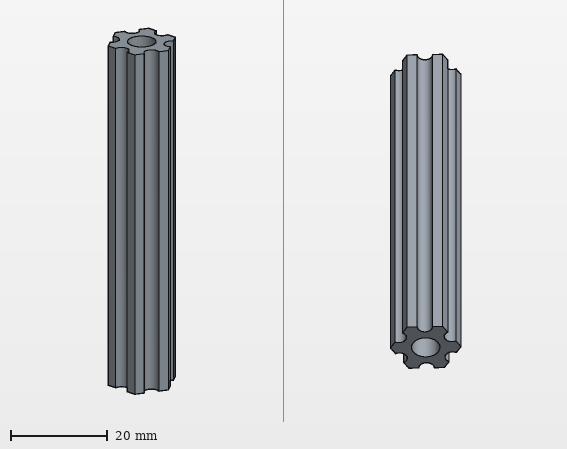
import cadquery as cq
import math

length = 76.2
flat_count = 6
half_flat_angle = 180 / flat_count
across_flats = length / 6
across_corners = across_flats / math.cos(math.radians(half_flat_angle))
bore_diameter = 5.9
groove_width = across_flats / 4

bar = cq.Workplane("XY").polygon(flat_count, across_corners).extrude(length)
bore = cq.Workplane("XY").circle(bore_diameter / 2).extrude(length)

grooves = (
    cq.Workplane("XY")
    .polarArray(across_flats / 2, half_flat_angle, 360, flat_count)
    .circle(groove_width / 2)
    .extrude(length)
)

result = bar.cut(bore).cut(grooves)